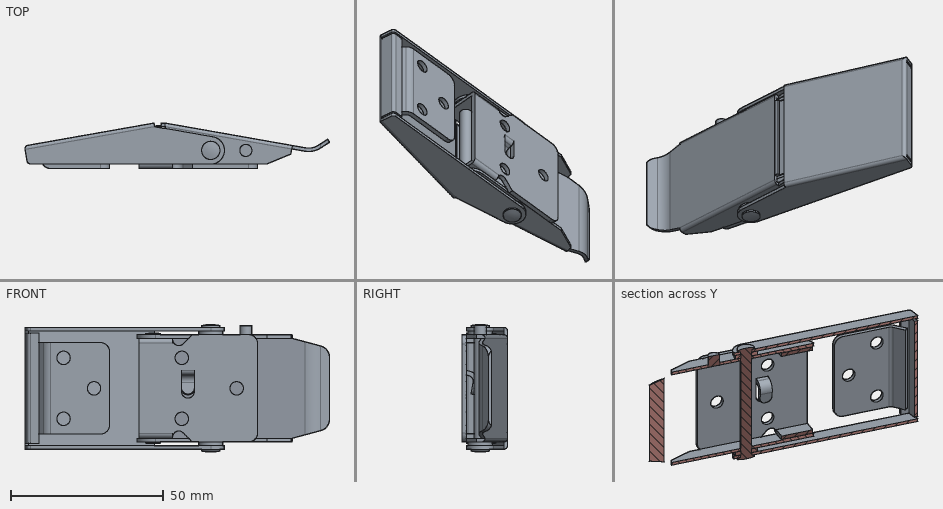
import cadquery as cq
import math


SEAT = 1.5
SHEET = 1.2
PEAK_Y = 15.0
SLOPE = math.radians(10)
COS, SIN, TAN = math.cos(SLOPE), math.sin(SLOPE), math.tan(SLOPE)
BIG = 60.0
HOLE_R = 2.2
HOLE_Z = 10.0

BAIL_HALF = 20.0
BAIL_END_X = 42.4
BAIL_EYE_R = 4.5
LIP_END_X = 4.6
SLIT_WIDTH = 0.7
SLIT_TOP_Y = 6.3

KEEPER_FLAT_X = 8.5
KEEPER_END_X = 27.8
KEEPER_HALF = 15.0
KEEPER_CORNER_R = 3.0
KEEPER_ANGLE = math.radians(48)
KEEPER_BEND_R = 3.2
KEEPER_HOOK_LENGTH = 4.5
KEEPER_HOLES = [(12.7, HOLE_Z), (12.7, -HOLE_Z), (22.7, 0)]

BASE_START_X = 37.4
BASE_END_X = 76.4
BASE_CORNER_R = 3.0
FLANGE_END_X = 48.5
FLANGE_TOP_Y = 13.1
FLANGE_BEND_R = 1.5
FLANGE_CHAMFER = 3.0
NOTCH_R = 2.0
NOTCH_FLOOR_Z = 14.0
BASE_HOLES = [(51.5, HOLE_Z), (51.5, -HOLE_Z), (69.5, 0)]
SLOT_X = 53.5
SLOT_WIDTH = 4.2
SLOT_TOP_Z = 5.9
SLOT_BOTTOM_Z = -3.2
TONGUE_ANGLE = math.radians(75)
TONGUE_STEP = 1.2
TONGUE_BEND_R = 1.9
TONGUE_TILT = math.radians(10)
TONGUE_LENGTH = 3.9
TONGUE_END_R = 2.0

LEVER_HALF = 17.6
LEVER_PLATE_X = 46.0
LEVER_TAB_X = 44.7
LEVER_LEDGE_X = 43.0
LEVER_LEDGE_THICK = 0.4
LEVER_TAB_HALF = 14.5
LEVER_ROUND_X = 42.8
LEVER_ROUND_R = 6.0
LEVER_FOOT_X = 79.4
LEVER_WALL_X = 87.8
LEVER_WALL_DEPTH = 2.9
GRIP_BEND_X = 91.9
GRIP_BEND_R = 7.1
GRIP_ANGLE = math.radians(33)
GRIP_END_X = 100.0
GRIP_TAPER = math.radians(15)
GRIP_CORNER_R = 4.0

PIVOT_X, PIVOT_Y = 42.0, 8.7
PIVOT_R = 2.1
PIVOT_HEAD_R = 2.5
PIVOT_HEAD_RIM = 0.4
PIVOT_HEAD_DOME = 0.15
CROSS_X = 61.0
CROSS_Y = SEAT + BAIL_EYE_R
CROSS_R = 2.0
CROSS_HEAD_R = 3.0
CROSS_HEAD_RIM = 0.6
CROSS_HEAD_DOME = 0.35
SPACER_R = 4.0
STUB_X = 72.5
STUB_R = 2.0
STUB_TOP_Z = 20.6

BAIL_INNER = BAIL_HALF - SHEET
LEVER_INNER = LEVER_HALF - SHEET
FLANGE_INNER = LEVER_INNER - SEAT
PLATE_DROP = SHEET / COS


def slab(outline, half_width):
    """Extrude an XY outline equally to both sides of Z = 0."""
    return outline.extrude(half_width, both=True)


def cylinder(x, y, radius, z_low, z_high):
    """Cylinder along Z."""
    return cq.Workplane("XY", origin=(x, y, z_low)).circle(radius).extrude(z_high - z_low)


def headed_pin(x, y, radius, half_grip, head_r, rim, dome):
    """Pin along Z with a domed head at each end."""
    rim_z = half_grip + rim
    tip_z = rim_z + dome
    dome_r = (head_r**2 + dome**2) / (2 * dome)
    mid_r = head_r / 2
    mid_z = tip_z - dome_r + math.sqrt(dome_r**2 - mid_r**2)
    profile = (
        cq.Workplane("XZ", origin=(x, y, 0))
        .moveTo(0, -tip_z)
        .threePointArc((mid_r, -mid_z), (head_r, -rim_z))
        .lineTo(head_r, -half_grip)
        .lineTo(radius, -half_grip)
        .lineTo(radius, half_grip)
        .lineTo(head_r, half_grip)
        .lineTo(head_r, rim_z)
        .threePointArc((mid_r, mid_z), (0, tip_z))
        .close()
    )
    return profile.revolve(360, (0, 0, 0), (0, 1, 0))


def rounded_roof(x, y, angle_sign, half_width):
    """Large block under a sloping plane, its two long top edges rounded like a bend."""
    plane = cq.Plane(origin=(x, y, 0), xDir=(COS, angle_sign * SIN, 0), normal=(0, 0, 1))
    block = cq.Workplane(plane).rect(4 * BIG, 2 * BIG).extrude(half_width, both=True)
    block = block.translate((angle_sign * SIN * BIG, -COS * BIG, 0))
    top_edges = cq.selectors.DirectionMinMaxSelector(cq.Vector(-angle_sign * SIN, COS, 0), True)
    return block.edges(top_edges).edges(cq.selectors.ParallelDirSelector(plane.xDir)).fillet(SHEET)


def make_bail():
    corner_x = SHEET * (1 - COS - SIN)
    corner_y = PEAK_Y - (BAIL_END_X - corner_x) * TAN
    foot_x = corner_x + (corner_y - SEAT) * TAN
    plate_end_y = PEAK_Y - SHEET * COS
    eye_top = (CROSS_X + BAIL_EYE_R * SIN, CROSS_Y + BAIL_EYE_R * COS)

    outline = (
        cq.Workplane("XY")
        .moveTo(corner_x, corner_y)
        .lineTo(BAIL_END_X, PEAK_Y)
        .lineTo(BAIL_END_X + SHEET * SIN, plate_end_y)
        .lineTo(*eye_top)
        .threePointArc((CROSS_X + BAIL_EYE_R, CROSS_Y), (CROSS_X, SEAT))
        .lineTo(foot_x, SEAT)
        .close()
    )
    bail = slab(outline, BAIL_HALF)
    bail = bail.edges(cq.selectors.NearestToPointSelector((corner_x, corner_y, 0))).fillet(SHEET)
    bail = bail.edges(cq.selectors.NearestToPointSelector((foot_x, SEAT, 0))).fillet(SHEET)
    bail = bail.intersect(rounded_roof(corner_x, corner_y, 1, BAIL_HALF))

    inner_x = corner_x + SHEET * (COS + SIN)
    inner_y = corner_y + SHEET * (SIN - COS)
    lip_top = SEAT + SHEET
    cavity = (
        cq.Workplane("XY")
        .moveTo(inner_x, inner_y)
        .lineTo(BAIL_END_X + SHEET * SIN, plate_end_y)
        .lineTo(BAIL_END_X, PEAK_Y)
        .lineTo(BAIL_END_X, BIG)
        .lineTo(2 * BIG, BIG)
        .lineTo(2 * BIG, 0)
        .lineTo(LIP_END_X, 0)
        .lineTo(LIP_END_X, lip_top)
        .lineTo(inner_x + (inner_y - lip_top) * TAN, lip_top)
        .close()
    )
    bail = bail.cut(slab(cavity, BAIL_INNER))

    for side in (1, -1):
        slit_z = side * (BAIL_INNER - SLIT_WIDTH / 2)
        slit = cq.Workplane("XY").box(2 * LIP_END_X, 2 * SLIT_TOP_Y, SLIT_WIDTH)
        bail = bail.cut(slit.translate((0, 0, slit_z)))

    return bail.cut(cylinder(CROSS_X, CROSS_Y, CROSS_R, -BIG, BIG))


def make_keeper():
    sin_k, cos_k = math.sin(KEEPER_ANGLE), math.cos(KEEPER_ANGLE)
    half_sin, half_cos = math.sin(KEEPER_ANGLE / 2), math.cos(KEEPER_ANGLE / 2)
    back_r = KEEPER_BEND_R - SEAT

    def bend_point(radius, sine, cosine):
        return (KEEPER_FLAT_X - radius * sine, KEEPER_BEND_R - radius * cosine)

    front = bend_point(KEEPER_BEND_R, sin_k, cos_k)
    back = bend_point(back_r, sin_k, cos_k)
    reach_x = -KEEPER_HOOK_LENGTH * cos_k
    reach_y = KEEPER_HOOK_LENGTH * sin_k
    outline = (
        cq.Workplane("XY")
        .moveTo(KEEPER_END_X, 0)
        .lineTo(KEEPER_FLAT_X, 0)
        .threePointArc(bend_point(KEEPER_BEND_R, half_sin, half_cos), front)
        .lineTo(front[0] + reach_x, front[1] + reach_y)
        .lineTo(back[0] + reach_x, back[1] + reach_y)
        .lineTo(*back)
        .threePointArc(bend_point(back_r, half_sin, half_cos), (KEEPER_FLAT_X, SEAT))
        .lineTo(KEEPER_END_X, SEAT)
        .close()
    )
    keeper = slab(outline, KEEPER_HALF)
    keeper = keeper.edges("|Y").edges(">X").fillet(KEEPER_CORNER_R)
    holes = cq.Workplane("XZ").pushPoints(KEEPER_HOLES).circle(HOLE_R).extrude(-SEAT)
    return keeper.cut(holes)


def make_tongue():
    """Tongue at the top of the base slot, stepped back behind the plate by two opposite bends."""
    sin_a, cos_a = math.sin(TONGUE_ANGLE), math.cos(TONGUE_ANGLE)
    half = TONGUE_ANGLE / 2
    sin_t, cos_t = math.sin(TONGUE_TILT), math.cos(TONGUE_TILT)

    first_front = (SEAT * (1 - cos_a), SLOT_TOP_Z - SEAT * sin_a)
    first_back = (SEAT, SLOT_TOP_Z)

    axis_y = first_front[0] + TONGUE_STEP * sin_a - TONGUE_BEND_R * cos_a
    axis_z = first_front[1] - TONGUE_STEP * cos_a - TONGUE_BEND_R * sin_a

    def bend_point(radius, angle):
        return (axis_y + radius * math.cos(angle), axis_z + radius * math.sin(angle))

    def end_point(radius):
        start = bend_point(radius, -TONGUE_TILT)
        return (start[0] - TONGUE_LENGTH * sin_t, start[1] - TONGUE_LENGTH * cos_t)

    front_r = TONGUE_BEND_R
    back_r = TONGUE_BEND_R + SEAT
    middle = (TONGUE_ANGLE - TONGUE_TILT) / 2
    tongue = (
        cq.Workplane("YZ", origin=(SLOT_X, 0, 0))
        .moveTo(0, SLOT_TOP_Z)
        .threePointArc((SEAT * (1 - math.cos(half)), SLOT_TOP_Z - SEAT * math.sin(half)), first_front)
        .lineTo(*bend_point(front_r, TONGUE_ANGLE))
        .threePointArc(bend_point(front_r, middle), bend_point(front_r, -TONGUE_TILT))
        .lineTo(*end_point(front_r))
        .lineTo(*end_point(back_r))
        .lineTo(*bend_point(back_r, -TONGUE_TILT))
        .threePointArc(bend_point(back_r, middle), bend_point(back_r, TONGUE_ANGLE))
        .lineTo(*first_back)
        .close()
        .extrude(SLOT_WIDTH / 2, both=True)
    )
    end_direction = cq.Vector(0, -sin_t, -cos_t)
    end_face = tongue.faces(cq.selectors.DirectionMinMaxSelector(end_direction, True))
    return end_face.edges("not |X").fillet(TONGUE_END_R)


def make_base():
    notch_x = FLANGE_END_X + NOTCH_R
    notch_z = NOTCH_FLOOR_Z + NOTCH_R
    diagonal = NOTCH_R * math.sqrt(0.5)
    tangent_x, tangent_z = notch_x + diagonal, notch_z - diagonal
    shoulder_x = tangent_x + LEVER_HALF - tangent_z
    base = (
        cq.Workplane("XZ")
        .moveTo(FLANGE_END_X, -notch_z)
        .lineTo(FLANGE_END_X, notch_z)
        .threePointArc((notch_x, NOTCH_FLOOR_Z), (tangent_x, tangent_z))
        .lineTo(shoulder_x, LEVER_HALF)
        .lineTo(BASE_END_X, LEVER_HALF)
        .lineTo(BASE_END_X, -LEVER_HALF)
        .lineTo(shoulder_x, -LEVER_HALF)
        .lineTo(tangent_x, -tangent_z)
        .threePointArc((notch_x, -NOTCH_FLOOR_Z), (FLANGE_END_X, -notch_z))
        .close()
        .extrude(-SEAT)
    )
    base = base.edges("|Y").edges(">X").fillet(BASE_CORNER_R)

    length = FLANGE_END_X - BASE_START_X
    channel = cq.Workplane("XY").box(length, FLANGE_TOP_Y, 2 * LEVER_INNER, centered=(False, False, True))
    channel = channel.edges("|X and <Y").fillet(FLANGE_BEND_R)
    channel = channel.edges("|Z and <X and >Y").chamfer(FLANGE_CHAMFER)
    inside = cq.Workplane("XY").box(length, FLANGE_TOP_Y, 2 * FLANGE_INNER, centered=(False, False, True))
    channel = channel.cut(inside.translate((0, SEAT, 0))).translate((BASE_START_X, 0, 0))
    base = base.union(channel)

    holes = cq.Workplane("XZ").pushPoints(BASE_HOLES).circle(HOLE_R).extrude(-SEAT)
    base = base.cut(holes)

    end_r = SLOT_WIDTH / 2
    slot = (
        cq.Workplane("XZ")
        .moveTo(SLOT_X - end_r, SLOT_TOP_Z)
        .lineTo(SLOT_X + end_r, SLOT_TOP_Z)
        .lineTo(SLOT_X + end_r, SLOT_BOTTOM_Z + end_r)
        .threePointArc((SLOT_X, SLOT_BOTTOM_Z), (SLOT_X - end_r, SLOT_BOTTOM_Z + end_r))
        .close()
        .extrude(-SEAT)
    )
    base = base.cut(slot).union(make_tongue())
    return base.cut(cylinder(PIVOT_X, PIVOT_Y, PIVOT_R, -BIG, BIG))


def lever_top(x):
    """Height of the outer face of the lever plate."""
    return PEAK_Y - (x - LEVER_PLATE_X) * TAN


def make_grip():
    """Tapered end of the lever plate, curled up for the fingers."""
    def bend_point(radius, angle):
        return (centre_x + radius * math.sin(angle), centre_y - radius * math.cos(angle))

    start_x = LEVER_FOOT_X
    upper_r = GRIP_BEND_R - SHEET
    centre_x = GRIP_BEND_X + GRIP_BEND_R * SIN
    centre_y = lever_top(GRIP_BEND_X) - PLATE_DROP + GRIP_BEND_R * COS
    middle = (GRIP_ANGLE - SLOPE) / 2
    lower_end = bend_point(GRIP_BEND_R, GRIP_ANGLE)
    upper_end = bend_point(upper_r, GRIP_ANGLE)
    reach_x = GRIP_END_X - lower_end[0]
    reach_y = reach_x * math.tan(GRIP_ANGLE)
    profile = (
        cq.Workplane("XY")
        .moveTo(start_x, lever_top(start_x) - PLATE_DROP)
        .lineTo(*bend_point(GRIP_BEND_R, -SLOPE))
        .threePointArc(bend_point(GRIP_BEND_R, middle), lower_end)
        .lineTo(GRIP_END_X, lower_end[1] + reach_y)
        .lineTo(upper_end[0] + reach_x, upper_end[1] + reach_y)
        .lineTo(*upper_end)
        .threePointArc(bend_point(upper_r, middle), bend_point(upper_r, -SLOPE))
        .lineTo(start_x, lever_top(start_x))
        .close()
    )
    end_half = LEVER_INNER - (GRIP_END_X - LEVER_WALL_X) * math.tan(GRIP_TAPER)
    plan = (
        cq.Workplane("XZ")
        .polyline([
            (start_x, -LEVER_INNER),
            (LEVER_WALL_X, -LEVER_INNER),
            (GRIP_END_X, -end_half),
            (GRIP_END_X, end_half),
            (LEVER_WALL_X, LEVER_INNER),
            (start_x, LEVER_INNER),
        ])
        .close()
        .extrude(-BIG)
        .edges("|Y and >X")
        .fillet(GRIP_CORNER_R)
    )
    return slab(profile, LEVER_HALF).intersect(plan)


def make_lever_tab():
    """Flat tab at the start of the lever plate, rebated to a thin ledge at its tip."""
    bottom_y = PEAK_Y - PLATE_DROP
    top_y = bottom_y + SHEET
    ledge_y = bottom_y + LEVER_LEDGE_THICK
    outline = (
        cq.Workplane("XY")
        .moveTo(LEVER_LEDGE_X, bottom_y)
        .lineTo(LEVER_PLATE_X, bottom_y)
        .lineTo(LEVER_PLATE_X, top_y)
        .lineTo(LEVER_TAB_X, top_y)
        .lineTo(LEVER_TAB_X, ledge_y)
        .lineTo(LEVER_LEDGE_X, ledge_y)
        .close()
    )
    return slab(outline, LEVER_TAB_HALF)


def make_lever():
    round_y = SEAT + LEVER_ROUND_R
    wall_dx = LEVER_PLATE_X - LEVER_ROUND_X
    wall_foot = (LEVER_WALL_X - LEVER_WALL_DEPTH * SIN, lever_top(LEVER_WALL_X) - LEVER_WALL_DEPTH * COS)
    outline = (
        cq.Workplane("XY")
        .moveTo(LEVER_PLATE_X, PEAK_Y)
        .lineTo(LEVER_WALL_X, lever_top(LEVER_WALL_X))
        .lineTo(*wall_foot)
        .lineTo(LEVER_FOOT_X, SEAT)
        .lineTo(LEVER_ROUND_X, SEAT)
        .threePointArc(
            (LEVER_ROUND_X - LEVER_ROUND_R, round_y),
            (LEVER_PLATE_X, round_y + math.sqrt(LEVER_ROUND_R**2 - wall_dx**2)),
        )
        .close()
    )
    lever = slab(outline, LEVER_HALF).intersect(rounded_roof(LEVER_PLATE_X, PEAK_Y, -1, LEVER_HALF))

    cavity = (
        cq.Workplane("XY")
        .moveTo(0, 0)
        .lineTo(0, BIG)
        .lineTo(LEVER_PLATE_X, BIG)
        .lineTo(LEVER_PLATE_X, PEAK_Y - PLATE_DROP)
        .lineTo(GRIP_END_X, lever_top(GRIP_END_X) - PLATE_DROP)
        .lineTo(GRIP_END_X, 0)
        .close()
    )
    lever = lever.cut(slab(cavity, LEVER_INNER)).union(make_grip()).union(make_lever_tab())

    lever = lever.cut(cylinder(PIVOT_X, PIVOT_Y, PIVOT_R, -BIG, BIG))
    lever = lever.cut(cylinder(CROSS_X, CROSS_Y, CROSS_R, -BIG, BIG))
    return lever.cut(cylinder(STUB_X, CROSS_Y, STUB_R, 0, BIG))


def make_spacer(side):
    """Ring between a lever wall and a bail wall; side is +1 or -1."""
    z_low = min(side * LEVER_HALF, side * BAIL_INNER)
    z_high = max(side * LEVER_HALF, side * BAIL_INNER)
    ring = cylinder(CROSS_X, CROSS_Y, SPACER_R, z_low, z_high)
    return ring.cut(cylinder(CROSS_X, CROSS_Y, CROSS_R, z_low, z_high))


bail = make_bail()
keeper = make_keeper()
base = make_base()
lever = make_lever()
pivot_pin = headed_pin(
    PIVOT_X, PIVOT_Y, PIVOT_R, LEVER_HALF, PIVOT_HEAD_R, PIVOT_HEAD_RIM, PIVOT_HEAD_DOME
)
cross_pin = headed_pin(
    CROSS_X, CROSS_Y, CROSS_R, BAIL_HALF, CROSS_HEAD_R, CROSS_HEAD_RIM, CROSS_HEAD_DOME
)
spacers = [make_spacer(side) for side in (1, -1)]
stub_pin = cylinder(STUB_X, CROSS_Y, STUB_R, LEVER_INNER, STUB_TOP_Z)

bodies = [bail, keeper, base, lever, pivot_pin, cross_pin, *spacers, stub_pin]
result = cq.Compound.makeCompound([body.solids().val() for body in bodies])